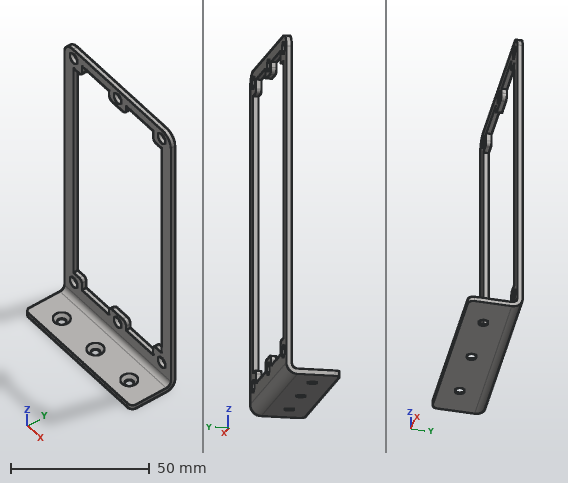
import cadquery as cq

width = 63.0
depth = 20.0
height = 127.0
thickness = 2.0
bend_inner_radius = 2.0
bend_outer_radius = bend_inner_radius + thickness
plate_corner_radius = 5.1
flange_corner_radius = 2.0

plate_hole_diameter = 4.5
plate_hole_pitch_x = 26.0
top_hole_margin = 4.5
bottom_hole_height = 9.5
top_hole_height = height - top_hole_margin
window_center_height = (top_hole_height + bottom_hole_height) / 2

window_width = 2 * plate_hole_pitch_x
window_height = top_hole_height - bottom_hole_height
lug_reach = 5.0
lug_radius = 1.5
tab_width = 10.2
tab_reach = 4.1
tab_radius = 2.0

flange_hole_diameter = 3.4
countersink_diameter = 6.5
countersink_angle = 90
flange_hole_pitch = 20.0
flange_hole_setback = 12.1


def bent_sheet():
    """L profile in the YZ plane, with the plate's back face at Y = 0."""
    sheet = (
        cq.Workplane("YZ")
        .polyline([
            (0, 0),
            (0, height),
            (-thickness, height),
            (-thickness, thickness),
            (-depth, thickness),
            (-depth, 0),
        ])
        .close()
        .extrude(width / 2, both=True)
    )
    inner_bend = cq.selectors.NearestToPointSelector((0, -thickness, thickness))
    sheet = sheet.edges(inner_bend).fillet(bend_inner_radius)
    outer_bend = cq.selectors.NearestToPointSelector((0, 0, 0))
    sheet = sheet.edges(outer_bend).fillet(bend_outer_radius)
    sheet = sheet.faces(">Z").edges("|Y").fillet(plate_corner_radius)
    return sheet.faces("<Y").edges("|Z").fillet(flange_corner_radius)


def plate_block(x, z, size_x, size_z):
    """Block through the plate thickness, centered on (x, z)."""
    return (
        cq.Workplane("XZ")
        .center(x, z)
        .rect(size_x, size_z)
        .extrude(thickness)
    )


def window():
    """Rectangular opening minus rounded corner lugs and middle tabs."""
    opening = plate_block(0, window_center_height, window_width, window_height)
    for z in (bottom_hole_height, top_hole_height):
        tab = plate_block(0, z, tab_width, 2 * tab_reach)
        opening = opening.cut(tab.edges("|Y").fillet(tab_radius))
        for x in (-plate_hole_pitch_x, plate_hole_pitch_x):
            lug = plate_block(x, z, 2 * lug_reach, 2 * lug_reach)
            opening = opening.cut(lug.edges("|Y").fillet(lug_radius))
    return opening


def plate_holes():
    """Two rows of three plain holes through the upright plate."""
    hole_points = [
        (column * plate_hole_pitch_x, z)
        for column in (-1, 0, 1)
        for z in (bottom_hole_height, top_hole_height)
    ]
    return (
        cq.Workplane("XZ")
        .pushPoints(hole_points)
        .circle(plate_hole_diameter / 2)
        .extrude(thickness)
    )


def add_flange_holes(bracket):
    """Row of holes countersunk from the upper face of the flange."""
    hole_points = [(column * flange_hole_pitch, -flange_hole_setback) for column in (-1, 0, 1)]
    return (
        bracket.copyWorkplane(cq.Workplane("XY", origin=(0, 0, thickness)))
        .pushPoints(hole_points)
        .cskHole(flange_hole_diameter, countersink_diameter, countersink_angle, depth=thickness)
    )


bracket = bent_sheet().cut(window()).cut(plate_holes())
result = add_flange_holes(bracket)